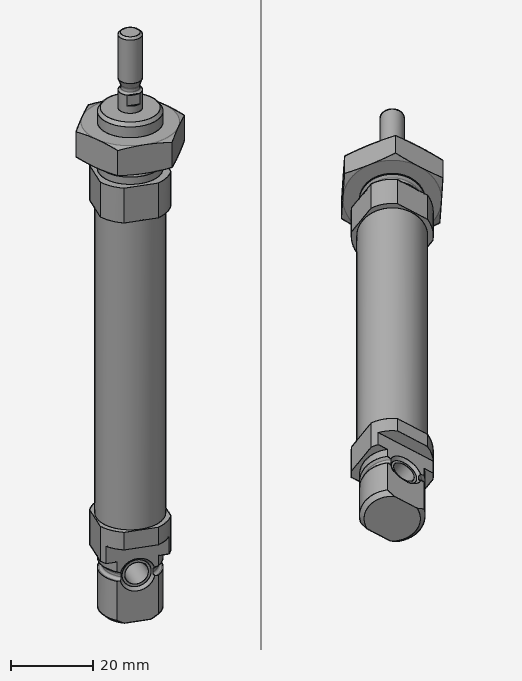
import cadquery as cq
import math

total_length = 161.0

eye_width = 12.0
eye_diameter = 16.0
eye_end_chamfer = 1.15
eye_flat_top = 22.2
pivot_height = 13.0
pivot_diameter = 6.0
pivot_recess_diameter = 7.4
pivot_recess_depth = 0.8
rear_groove_bottom = 12.0
rear_groove_top = 14.6

cap_diameter = 20.0
cap_across_flats = 18.0
rear_cap_bottom = 17.4
rear_cap_top = 27.1
front_cap_bottom = 113.3
tube_diameter = 17.3

nose_diameter = 16.0
nose_length = 17.0
nose_tip_diameter = 14.6
nose_chamfer_height = 1.0
nose_top = 140.0
front_cap_top = nose_top - nose_length
nose_groove_bottom = front_cap_top + 2.0
nose_groove_top = nose_groove_bottom + 2.6
groove_diameter = 13.7
groove_fillet = 0.8
groove_slope_angle = 60.0

nut_across_flats = 24.0
nut_thickness = 8.0
nut_bottom = 128.0
nut_chamfer_angle = 15.0

rod_diameter = 6.0
rod_across_flats = 5.0
rod_thread_length = 16.0
rod_flat_bottom = 142.0
rod_shoulder = total_length - rod_thread_length
rod_neck_diameter = 4.7
rod_tip_diameter = 4.8
rod_neck_length = 3.3
rod_neck_fillet = 0.6
rod_neck_slope_angle = 20.0
rod_thread_chamfer = (rod_diameter - rod_tip_diameter) / 2


def turned(profile):
    """Revolve a closed (radius, height) outline about the Z axis."""
    return cq.Workplane("XZ").polyline(profile).close().revolve(360, (0, 0, 0), (0, 1, 0))


def cylinder(diameter, bottom, top):
    return cq.Workplane("XY").workplane(offset=bottom).circle(diameter / 2).extrude(top - bottom)


def side_block(side, across_flats, diameter, bottom, height):
    """Block to cut on one X side of a round part, leaving a flat."""
    block = cq.Workplane("XY").box(diameter, diameter, height, centered=(True, True, False))
    return block.translate((side * (across_flats + diameter) / 2, 0, bottom))


def end_cap(bottom, top):
    """Round cap with four flats facing X and Y."""
    flats = cq.Workplane("XY").workplane(offset=bottom).rect(cap_across_flats, cap_across_flats)
    return cylinder(cap_diameter, bottom, top).intersect(flats.extrude(top - bottom))


def undercut(outer_diameter, neck_diameter, shoulder, end, fillet, slope_angle):
    """Ring to cut for a thread undercut.

    A square shoulder and a conical runout, sloped from the axis, both blend into the neck by fillets.
    The ring runs along Z from `shoulder` to `end`, in either direction.
    """
    outer = outer_diameter / 2
    neck = neck_diameter / 2
    along = math.copysign(1, end - shoulder)
    angle = math.radians(slope_angle)
    runout = (outer - neck) / math.tan(angle)
    neck_end = abs(end - shoulder) - runout - fillet * math.tan(angle / 2)

    def at(radius, distance):
        return (radius, shoulder + along * distance)

    def on_slope_fillet(turn):
        return at(neck + fillet * (1 - math.cos(turn)), neck_end + fillet * math.sin(turn))

    corner = fillet * (1 - math.sqrt(0.5))
    ring = (
        cq.Workplane("XZ")
        .moveTo(*at(outer, 0))
        .lineTo(*at(neck + fillet, 0))
        .threePointArc(at(neck + corner, corner), at(neck, fillet))
        .lineTo(*at(neck, neck_end))
        .threePointArc(on_slope_fillet(angle / 2), on_slope_fillet(angle))
        .lineTo(*at(outer, neck_end + runout + fillet * math.tan(angle / 2)))
        .close()
    )
    return ring.revolve(360, (0, 0, 0), (0, 1, 0))


def rear_eye():
    """Turned eye blank with an undercut below the rear cap."""
    radius = eye_diameter / 2
    blank = turned([
        (0, 0),
        (radius - eye_end_chamfer, 0),
        (radius, eye_end_chamfer),
        (radius, rear_cap_bottom),
        (0, rear_cap_bottom),
    ])
    return blank.cut(undercut(
        eye_diameter, groove_diameter, rear_groove_bottom, rear_groove_top,
        groove_fillet, groove_slope_angle,
    ))


def pivot_hole():
    """Hole along X, with a conical recess and flat step at each eye flat."""
    half = eye_width / 2
    radius = pivot_diameter / 2
    recess = pivot_recess_diameter / 2
    depth = pivot_recess_depth
    mouth = recess + depth
    outline = [
        (-half, 0),
        (-half, mouth),
        (depth - half, recess),
        (depth - half, radius),
        (half - depth, radius),
        (half - depth, recess),
        (half, mouth),
        (half, 0),
    ]
    hole = cq.Workplane("XZ").polyline(outline).close().revolve(360, (0, 0, 0), (1, 0, 0))
    return hole.translate((0, 0, pivot_height))


def nose():
    """Nose above the front cap, with an undercut behind its thread."""
    radius = nose_diameter / 2
    blank = turned([
        (0, front_cap_top),
        (radius, front_cap_top),
        (radius, nose_top - nose_chamfer_height),
        (nose_tip_diameter / 2, nose_top),
        (0, nose_top),
    ])
    return blank.cut(undercut(
        nose_diameter, groove_diameter, nose_groove_bottom, nose_groove_top,
        groove_fillet, groove_slope_angle,
    ))


def make_housing():
    housing = rear_eye().union(end_cap(rear_cap_bottom, rear_cap_top))
    for side in (-1, 1):
        housing = housing.cut(side_block(side, eye_width, cap_diameter, 0, eye_flat_top))
    housing = housing.cut(pivot_hole())
    housing = housing.union(cylinder(tube_diameter, rear_cap_top, front_cap_bottom))
    housing = housing.union(end_cap(front_cap_bottom, front_cap_top))
    return housing.union(nose())


def make_nut():
    """Hexagon nut with corners along Y and both faces chamfered by a cone."""
    across_corners = nut_across_flats / math.cos(math.pi / 6)
    flat_radius = nut_across_flats / 2
    corner_radius = across_corners / 2
    drop = (corner_radius - flat_radius) * math.tan(math.radians(nut_chamfer_angle))
    blank = cq.Workplane("XY").polygon(6, across_corners).extrude(nut_thickness)
    blank = blank.rotate((0, 0, 0), (0, 0, 1), 90)
    cones = turned([
        (0, 0),
        (flat_radius, 0),
        (corner_radius, drop),
        (corner_radius, nut_thickness - drop),
        (flat_radius, nut_thickness),
        (0, nut_thickness),
    ])
    nut = blank.intersect(cones).cut(cylinder(nose_diameter, 0, nut_thickness))
    return nut.translate((0, 0, nut_bottom))


def make_rod():
    """Rod standing on the nose face: spanner flats, undercut and threaded tip."""
    radius = rod_diameter / 2
    rod = turned([
        (0, nose_top),
        (radius, nose_top),
        (radius, total_length - rod_thread_chamfer),
        (radius - rod_thread_chamfer, total_length),
        (0, total_length),
    ])
    rod = rod.cut(undercut(
        rod_diameter, rod_neck_diameter, rod_shoulder, rod_shoulder + rod_neck_length,
        rod_neck_fillet, rod_neck_slope_angle,
    ))
    flat_length = rod_shoulder - rod_flat_bottom
    for side in (-1, 1):
        rod = rod.cut(side_block(side, rod_across_flats, rod_diameter, rod_flat_bottom, flat_length))
    return rod


housing = make_housing()
nut = make_nut()
rod = make_rod()

result = cq.Compound.makeCompound([housing.val(), nut.val(), rod.val()])